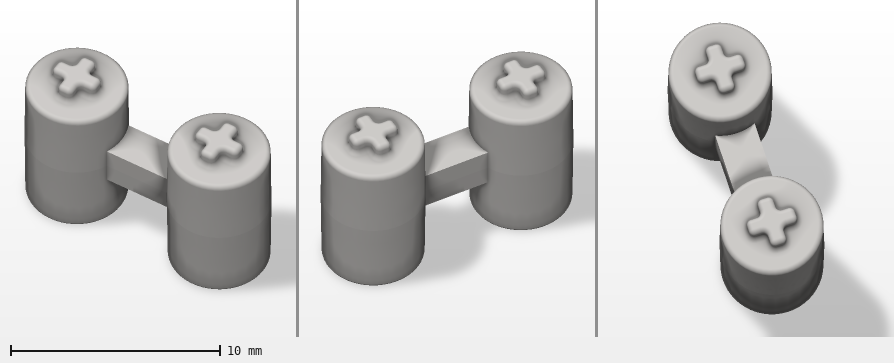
import cadquery as cq
import math

length = 13.02
draft_angle = 0.7

barrel_diameter = 5.03
barrel_height = 7.4
parting_height = 3.84
top_round = 0.25
bottom_round = 0.18
barrel_offset = (length - barrel_diameter) / 2

bar_size = 2.0

stud_height = 0.75
stud_span = 2.4
stud_arm_width = 0.78
stud_round = 0.25


def drafted_radius(distance):
    """Barrel radius at a distance above or below the parting plane."""
    return barrel_diameter / 2 - distance * math.tan(math.radians(draft_angle))


def make_barrel():
    """Solid of revolution tapering slightly from the parting plane to both ends."""
    barrel = (
        cq.Workplane("XZ")
        .lineTo(drafted_radius(parting_height), 0)
        .lineTo(barrel_diameter / 2, parting_height)
        .lineTo(drafted_radius(barrel_height - parting_height), barrel_height)
        .lineTo(0, barrel_height)
        .close()
        .revolve(360, (0, 0, 0), (0, 1, 0))
    )
    barrel = barrel.faces(">Z").edges().fillet(top_round)
    return barrel.faces("<Z").edges().fillet(bottom_round)


def make_stud():
    """Cross with rounded corners and a rounded top, standing on the barrel top."""
    base = cq.Workplane("XY").workplane(offset=barrel_height)
    arm_x = base.rect(stud_span, stud_arm_width).extrude(stud_height)
    arm_y = base.rect(stud_arm_width, stud_span).extrude(stud_height)
    cross = arm_x.union(arm_y).edges("|Z").fillet(stud_round)
    return cross.faces(">Z").edges().fillet(stud_round)


def make_studded_barrel():
    """Barrel with its stud, blended together around the foot of the stud."""
    body = make_barrel().union(make_stud())
    barrel_top = body.faces("|Z").faces(">Z[-2]").val()
    foot_edges = barrel_top.innerWires()[0].Edges()
    return body.newObject(foot_edges).fillet(stud_round)


def make_bar():
    """Bar between the barrel axes, its sides drafted away from the parting plane."""
    section = cq.Workplane("XY").workplane(offset=parting_height).rect(2 * barrel_offset, bar_size)
    return section.extrude(bar_size / 2, both=True, taper=draft_angle)


studded_barrel = make_studded_barrel()
result = make_bar()
for side in (-1, 1):
    result = result.union(studded_barrel.translate((side * barrel_offset, 0, 0)))